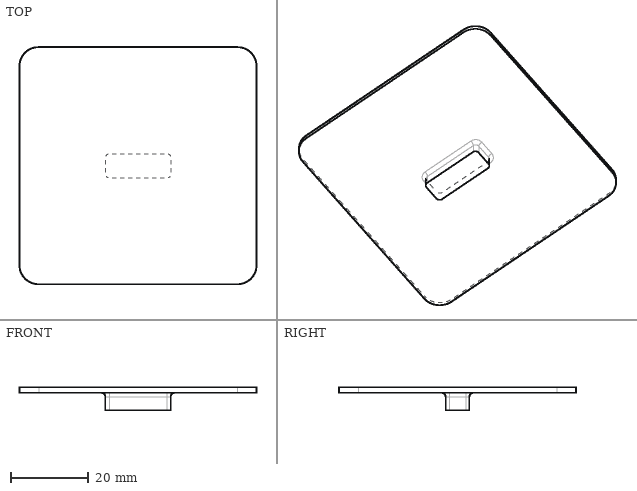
import cadquery as cq

plate_side = 61.5
plate_thickness = 1.5
plate_corner_radius = 5.0

peg_length = 17.0
peg_width = 6.2
peg_corner_radius = 1.0
total_height = 6.0
peg_height = total_height - plate_thickness

root_fillet_radius = 1.0


def rounded_block(length, width, height, corner_radius):
    """Block standing on Z = 0, centred in X and Y, with rounded vertical edges."""
    block = cq.Workplane("XY").box(length, width, height, centered=(True, True, False))
    return block.edges("|Z").fillet(corner_radius)


def make_plate():
    """Plate with its underside at the top of the peg."""
    plate = rounded_block(plate_side, plate_side, plate_thickness, plate_corner_radius)
    return plate.translate((0, 0, peg_height))


def make_peg():
    """Peg reaching from Z = 0 up to the underside of the plate."""
    return rounded_block(peg_length, peg_width, peg_height, peg_corner_radius)


def fillet_peg_root(body):
    """Blend the peg into the underside of the plate all the way round."""
    root_zone = cq.selectors.BoxSelector(
        (-peg_length, -peg_width, peg_height - root_fillet_radius),
        (peg_length, peg_width, peg_height + plate_thickness / 2),
    )
    return body.edges(root_zone).fillet(root_fillet_radius)


result = fillet_peg_root(make_plate().union(make_peg()))